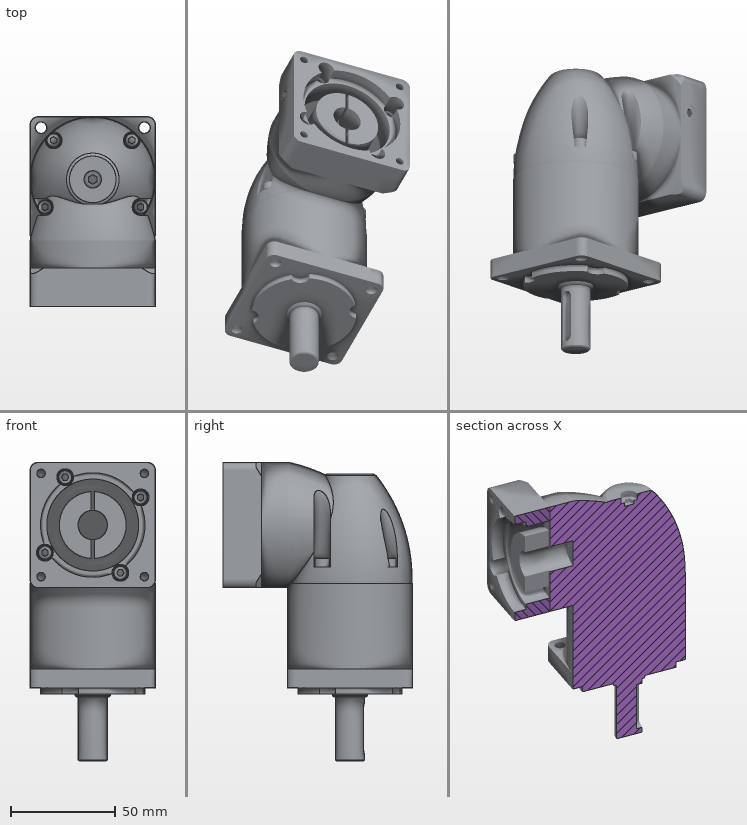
import cadquery as cq
import math


frame = 60.0
frame_corner = 4.0
body_radius = frame / 2
bolt_offset = 24.7
input_height = 78.0

flange_thickness = 9.0
flange_hole_radius = 2.7
pilot_radius = 25.0
pilot_height = 3.0
scallop_radius = 4.7
scallop_first_angle = 64
collar_radius = 8.5
collar_height = 1.5
collar_chamfer = 0.7
shaft_radius = 7.0
shaft_reach = 35.0
shaft_chamfer = 0.6
key_width = 5.0
key_length = 25.0
key_depth = 3.0
key_end_gap = 3.0

dome_base = 50.0
dome_step = 0.3
dome_base_radius = body_radius - dome_step
dome_mid_height = 77.6
dome_mid_radius = 25.6
dome_rim_radius = 12.6
dome_top = 102.4
dome_top_radius = 11.2
dome_rim_drop = 0.9
dome_rim_height = dome_top - dome_rim_drop
plug_hole_radius = 4.1
plug_hole_depth = 3.3
plug_hex = 4.0
plug_hex_depth = 2.0
upright_corner = 90

neck_face = 42.3
neck_base = 29.5
neck_mid = 20.7
neck_mid_radius = 27.6
neck_end = 4.3
neck_end_radius = 20.0

screw_circle = 26.5
screw_pocket_radius = 4.0
screw_head_radius = 3.5
screw_head_height = 4.3
screw_head_chamfer = 0.3
screw_hex = 3.0
screw_hex_depth = 2.0
housing_pocket_floor = 57.9
rear_screw_angles = (45, 135)
front_screw_angles = (-30, 210)

adapter_thickness = 18.6
adapter_face = neck_face + adapter_thickness
motor_pilot_radius = 25.0
motor_pilot_depth = 6.0
adapter_bore_radius = 22.0
motor_thread_radius = 2.0
motor_thread_depth = 10.0
drill_point_depth = 1.1
back_trim_radius = 38.0
adapter_pocket_depth = 14.0
adapter_screw_angles = (30, 120, 210, 300)
side_plug_radius = 4.1
side_plug_recess = 0.1
side_plug_setback = 11.9
side_plug_rise = 11.0

hub_radius = 16.0
hub_length = adapter_thickness - motor_pilot_depth
hub_bore_radius = 7.0
hub_bore_depth = 25.0
hub_slit = 1.6


def polar(radius, angle):
    """Point at a radius and an angle in degrees."""
    turn = math.radians(angle)
    return radius * math.cos(turn), radius * math.sin(turn)


def corner_bolts():
    """The four corner bolt positions of a square flange."""
    return [(x, y) for x in (-bolt_offset, bolt_offset) for y in (-bolt_offset, bolt_offset)]


def level(height):
    """Work plane facing +Z."""
    return cq.Workplane("XY", origin=(0, 0, height))


def input_plane(distance):
    """Work plane on the input axis facing -Y, with local x along +X and local y along +Z."""
    return cq.Workplane("XZ", origin=(0, -distance, input_height))


def hexagon(plane, across_flats, depth, corner_angle):
    """Hexagonal prism sunk below a plane, with one corner at the given angle."""
    corner_diameter = across_flats / math.cos(math.radians(30))
    return plane.transformed(rotate=(0, 0, corner_angle)).polygon(6, corner_diameter).extrude(-depth)


def socket_screw(seat, corner_angle):
    """Screw head standing on a seat plane, with a hexagonal socket."""
    head = seat.circle(screw_head_radius).extrude(screw_head_height)
    head = head.faces(cq.selectors.DirectionMinMaxSelector(seat.plane.zDir)).chamfer(screw_head_chamfer)
    socket = hexagon(seat.workplane(offset=screw_head_height), screw_hex, screw_hex_depth, corner_angle)
    return head.cut(socket)


def output_flange():
    flange = level(0).rect(frame, frame).extrude(flange_thickness).edges("|Z").fillet(frame_corner)
    holes = level(0).pushPoints(corner_bolts()).circle(flange_hole_radius).extrude(flange_thickness)
    return flange.cut(holes)


def output_pilot():
    pilot = level(-pilot_height).circle(pilot_radius).extrude(pilot_height)
    centres = [polar(screw_circle, scallop_first_angle + 90 * i) for i in range(4)]
    scallops = level(-pilot_height).pushPoints(centres).circle(scallop_radius).extrude(pilot_height)
    return pilot.cut(scallops)


def output_shaft():
    collar_end = -pilot_height - collar_height
    collar = level(collar_end).circle(collar_radius).extrude(collar_height)
    collar = collar.faces("<Z").chamfer(collar_chamfer)
    shaft = level(-shaft_reach).circle(shaft_radius).extrude(shaft_reach)
    shaft = shaft.faces("<Z").chamfer(shaft_chamfer)
    keyway = (
        cq.Workplane("XZ", origin=(0, shaft_radius, -shaft_reach + key_end_gap + key_length / 2))
        .slot2D(key_length, key_width, 90)
        .extrude(key_depth)
    )
    return shaft.cut(keyway).union(collar)


def output_dome():
    """Round housing turned about the output axis."""
    return (
        cq.Workplane("XZ")
        .moveTo(0, flange_thickness)
        .lineTo(body_radius, flange_thickness)
        .lineTo(body_radius, dome_base)
        .lineTo(dome_base_radius, dome_base)
        .threePointArc((dome_mid_radius, dome_mid_height), (dome_rim_radius, dome_rim_height))
        .lineTo(dome_top_radius, dome_top)
        .lineTo(0, dome_top)
        .close()
        .revolve(360, (0, 0, 0), (0, 1, 0))
    )


def input_dome():
    """Round neck turned about the input axis."""
    return (
        cq.Workplane("XY", origin=(0, 0, input_height))
        .moveTo(0, -neck_face)
        .lineTo(body_radius, -neck_face)
        .lineTo(body_radius, -neck_base)
        .threePointArc((neck_mid_radius, -neck_mid), (neck_end_radius, -neck_end))
        .lineTo(0, -neck_end)
        .close()
        .revolve(360, (0, 0, 0), (0, 1, 0))
    )


def housing_pockets():
    """Vertical screw pockets; the front pair is also open sideways."""
    height = dome_top - housing_pocket_floor
    floor = level(housing_pocket_floor)
    centres = [polar(screw_circle, angle) for angle in rear_screw_angles + front_screw_angles]
    pockets = floor.pushPoints(centres).circle(screw_pocket_radius).extrude(height)
    for angle in front_screw_angles:
        x, y = polar(screw_circle, angle)
        outward = math.copysign(body_radius, x)
        side_slot = floor.center(x + outward / 2, y).rect(body_radius, 2 * screw_pocket_radius)
        pockets = pockets.union(side_slot.extrude(height))
    return pockets


def top_plug_hole():
    """Blind hole in the dome top with a hexagonal socket in its floor."""
    hole = level(dome_top).circle(plug_hole_radius).extrude(-plug_hole_depth)
    return hole.union(hexagon(level(dome_top - plug_hole_depth), plug_hex, plug_hex_depth, upright_corner))


def clamping_hub():
    return input_plane(neck_face).circle(hub_radius).extrude(hub_length)


def hub_cutouts():
    """Motor shaft bore and the slit that lets the hub clamp."""
    face = input_plane(neck_face + hub_length)
    bore = face.circle(hub_bore_radius).extrude(-hub_bore_depth)
    slit = face.rect(hub_slit, 2 * hub_radius).extrude(-hub_length)
    return bore.union(slit)


def make_gearbox():
    gearbox = output_dome().union(input_dome())
    gearbox = gearbox.cut(housing_pockets()).cut(top_plug_hole())
    for angle in rear_screw_angles + front_screw_angles:
        seat = level(housing_pocket_floor).center(*polar(screw_circle, angle))
        gearbox = gearbox.union(socket_screw(seat, upright_corner))
    gearbox = gearbox.union(clamping_hub()).cut(hub_cutouts())
    return gearbox.union(output_flange()).union(output_pilot()).union(output_shaft())


def adapter_plate():
    """Square plate whose rear corners are trimmed by a cone."""
    plate = input_plane(neck_face).rect(frame, frame).extrude(adapter_thickness)
    plate = plate.edges("|Y").fillet(frame_corner)
    rear_centre = cq.Vector(0, -neck_face, input_height)
    widest = back_trim_radius + adapter_thickness
    trim = cq.Solid.makeCone(back_trim_radius, widest, adapter_thickness, rear_centre, cq.Vector(0, -1, 0))
    return plate.intersect(cq.Workplane(trim))


def adapter_bore():
    face = input_plane(adapter_face)
    pilot = face.circle(motor_pilot_radius).extrude(-motor_pilot_depth)
    return pilot.union(face.circle(adapter_bore_radius).extrude(-adapter_thickness))


def motor_threads():
    """Blind corner holes with drill-point ends."""
    face = input_plane(adapter_face)
    holes = face.pushPoints(corner_bolts()).circle(motor_thread_radius).extrude(-motor_thread_depth)
    for x, z in corner_bolts():
        tip_start = cq.Vector(x, motor_thread_depth - adapter_face, input_height + z)
        tip = cq.Solid.makeCone(motor_thread_radius, 0, drill_point_depth, tip_start, cq.Vector(0, 1, 0))
        holes = holes.union(cq.Workplane(tip))
    return holes


def adapter_pockets():
    centres = [polar(screw_circle, angle) for angle in adapter_screw_angles]
    face = input_plane(adapter_face)
    return face.pushPoints(centres).circle(screw_pocket_radius).extrude(-adapter_pocket_depth)


def side_plug():
    """Shallow round recess with a hexagonal socket on the -X side."""
    centre = (-frame / 2, side_plug_setback - adapter_face, input_height + side_plug_rise)
    side = cq.Workplane("YZ", origin=centre)
    recess = side.circle(side_plug_radius).extrude(side_plug_recess)
    return recess.union(hexagon(side, plug_hex, -plug_hex_depth, 0))


def make_adapter():
    adapter = adapter_plate().cut(adapter_pockets())
    for angle in adapter_screw_angles:
        seat = input_plane(adapter_face - adapter_pocket_depth).center(*polar(screw_circle, angle))
        adapter = adapter.union(socket_screw(seat, angle))
    return adapter.cut(adapter_bore()).cut(motor_threads()).cut(side_plug())


gearbox = make_gearbox()
adapter = make_adapter()

result = cq.Compound.makeCompound([gearbox.val(), adapter.val()])